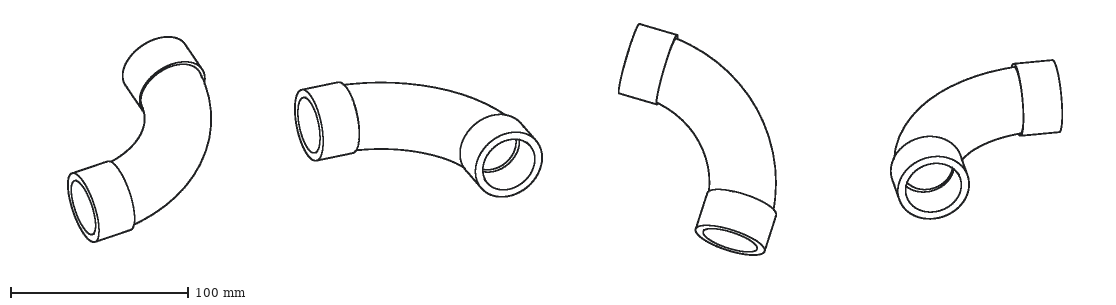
import cadquery as cq

overall = 106.5
collar_diameter = 41.0
collar_length = 22.3
socket_diameter = 32.0
socket_depth = collar_length
pipe_diameter = 37.7
bore_diameter = 28.8
bend_start = 13.3

axis_offset = overall - collar_diameter / 2
bend_radius = axis_offset - bend_start


def along_x(diameter, length):
    """Cylinder on the collar axis parallel to X, starting at the X = 0 end face."""
    return cq.Workplane("YZ", origin=(0, axis_offset, 0)).circle(diameter / 2).extrude(length)


def along_y(diameter, length):
    """Cylinder on the collar axis parallel to Y, starting at the Y = 0 end face."""
    return cq.Workplane("XZ", origin=(axis_offset, 0, 0)).circle(diameter / 2).extrude(-length)


def bend(diameter):
    """Quarter torus from the X-side collar to the Y-side collar."""
    return (
        cq.Workplane("YZ", origin=(bend_start, axis_offset, 0))
        .circle(diameter / 2)
        .sweep(
            cq.Workplane("XY")
            .moveTo(bend_start, axis_offset)
            .radiusArc((axis_offset, bend_start), bend_radius)
        )
    )


result = bend(pipe_diameter)
for cylinder in (along_x, along_y):
    result = result.union(cylinder(collar_diameter, collar_length))

result = result.cut(bend(bore_diameter))
for cylinder in (along_x, along_y):
    result = result.cut(cylinder(socket_diameter, socket_depth))